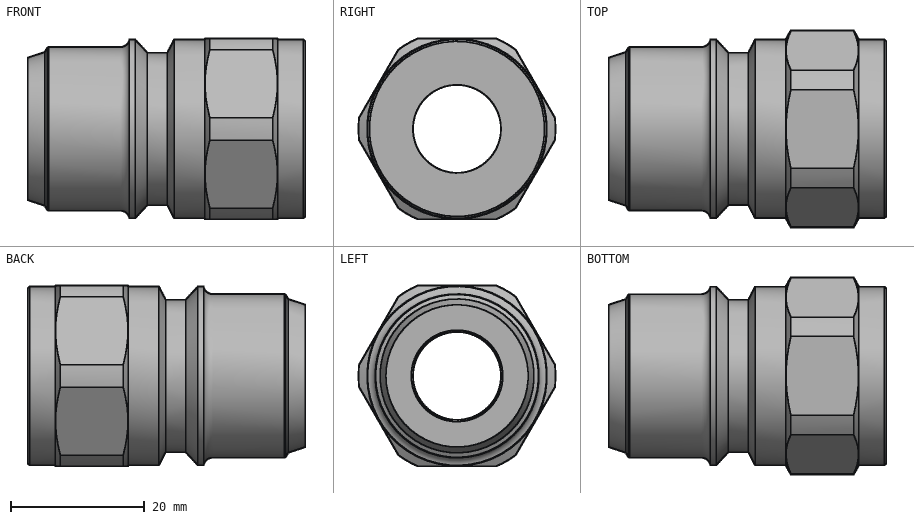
import cadquery as cq
import math

length = 41.5
edge_chamfer = 0.3
bore_radius = 6.55
body_radius = 13.35

nose_face_radius = 10.62
nose_edge_radius = 10.75
nose_end_x = 2.57
nose_end_radius = 11.5
plug_start_x = 2.95
plug_radius = 12.25
plug_edge_length = 0.25
plug_edge_height = 0.1

flare_start_x = 13.85
flare_fillet = 1.35
collar_end_x = 16.05

groove_radius = 11.4
groove_start_x = 17.9
groove_end_x = 20.87
body_start_x = 21.85

hex_start_x = 26.48
hex_end_x = 37.35
hex_across_flats = 27.0
hex_corner_radius = 14.75
hex_chamfer_length = 0.75
hex_end_radius = 13.45
hex_turn_angle = 30


def turned_body():
    """Outer profile revolved about the X axis."""
    sweep = math.acos((plug_radius + flare_fillet - body_radius) / flare_fillet)

    def flare_point(angle):
        return (
            flare_start_x + flare_fillet * math.sin(angle),
            plug_radius + flare_fillet * (1 - math.cos(angle)),
        )

    profile = (
        cq.Workplane("XY")
        .moveTo(0, 0)
        .lineTo(0, nose_face_radius)
        .lineTo(edge_chamfer, nose_edge_radius)
        .lineTo(nose_end_x, nose_end_radius)
        .lineTo(plug_start_x, plug_radius - plug_edge_height)
        .lineTo(plug_start_x + plug_edge_length, plug_radius)
        .lineTo(flare_start_x, plug_radius)
        .threePointArc(flare_point(sweep / 2), flare_point(sweep))
        .lineTo(collar_end_x, body_radius)
        .lineTo(groove_start_x, groove_radius)
        .lineTo(groove_end_x, groove_radius)
        .lineTo(body_start_x, body_radius)
        .lineTo(length - edge_chamfer, body_radius)
        .lineTo(length, body_radius - edge_chamfer)
        .lineTo(length, 0)
        .close()
    )
    return profile.revolve(360, (0, 0, 0), (1, 0, 0))


def hexagon():
    """Hexagon with flats at +Z and -Z, trimmed by a turned envelope."""
    prism = (
        cq.Workplane("YZ", origin=(hex_start_x, 0, 0))
        .polygon(6, hex_across_flats, circumscribed=True)
        .extrude(hex_end_x - hex_start_x)
        .rotate((0, 0, 0), (1, 0, 0), hex_turn_angle)
    )
    envelope = (
        cq.Workplane("XY")
        .moveTo(hex_start_x, 0)
        .lineTo(hex_start_x, hex_end_radius)
        .lineTo(hex_start_x + hex_chamfer_length, hex_corner_radius)
        .lineTo(hex_end_x - hex_chamfer_length, hex_corner_radius)
        .lineTo(hex_end_x, hex_end_radius)
        .lineTo(hex_end_x, 0)
        .close()
        .revolve(360, (0, 0, 0), (1, 0, 0))
    )
    return prism.intersect(envelope)


def bore():
    """Through bore, widened by a chamfer at the nose."""
    hole = cq.Workplane("YZ").circle(bore_radius).extrude(length)
    mouth = (
        cq.Workplane("XY")
        .moveTo(0, 0)
        .lineTo(0, bore_radius + edge_chamfer)
        .lineTo(edge_chamfer, bore_radius)
        .lineTo(edge_chamfer, 0)
        .close()
        .revolve(360, (0, 0, 0), (1, 0, 0))
    )
    return hole.union(mouth)


result = turned_body().union(hexagon()).cut(bore())